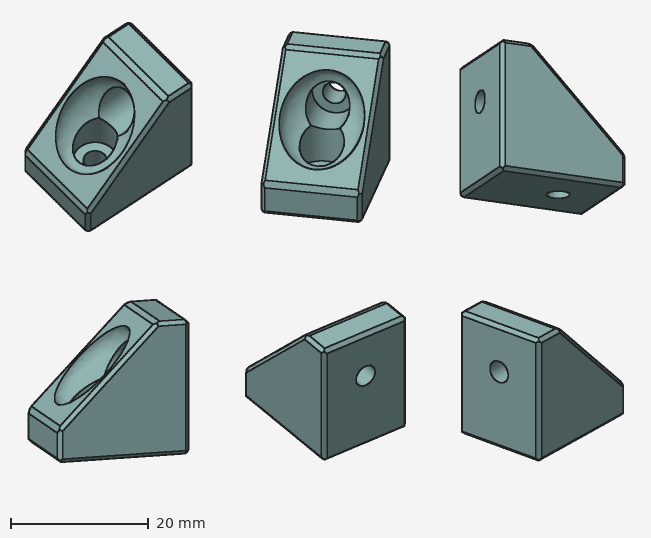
import cadquery as cq

width = 15.0
side = 20.0
land = 5.0
chamfer = 0.6

hole_diameter = 3.4
head_diameter = 6.5
seat_thickness = 4.0

recess_width = 62.5
recess_length = 76.0
recess_depth = 18.5

slope_run = side - land
axis_y = slope_run / 2
axis_z = land + slope_run / 2


def make_block():
    """Pentagonal wedge, front face at Y = 0, with every edge chamfered."""
    outline = [(0, 0), (side, 0), (side, side), (slope_run, side), (0, land)]
    block = cq.Workplane("YZ").polyline(outline).close().extrude(width / 2, both=True)
    bevelled_sides = block.faces("<X or >X").chamfer(chamfer)
    bevelled_profile = block.edges("|X").chamfer(chamfer)
    return bevelled_sides.intersect(bevelled_profile)


def make_recess():
    """Ellipsoid centred on the slope, its lower half lying inside the block."""
    unit_sphere = cq.Solid.makeSphere(0.2, angleDegrees1=-90, angleDegrees2=90)
    stretch = cq.Matrix(
        [
            [recess_width / 2, 0, 0, 0],
            [0, recess_length / 2, 0, 0],
            [0, 0, recess_depth, 0],
        ]
    )
    ellipsoid = unit_sphere.transformGeometry(stretch)
    slope_plane = cq.Plane(
        origin=(0, axis_y, axis_z),
        xDir=(1, 0, 0),
        normal=(0, 1, -1),
    )
    return ellipsoid.moved(cq.Location(slope_plane))


def make_screw_hole(entry, direction):
    """Through hole and head bore, drilled inward from an outer face."""
    start = cq.Vector(*entry)
    axis = cq.Vector(*direction)
    shank = cq.Solid.makeCylinder(hole_diameter / 2, side, start, axis)
    seat = start + axis * seat_thickness
    head = cq.Solid.makeCylinder(head_diameter / 2, side, seat, axis)
    return shank.fuse(head)


result = (
    make_block()
    .cut(cq.Workplane(make_recess()))
    .cut(cq.Workplane(make_screw_hole((0, axis_y, 0), (0, 0, 1))))
    .cut(cq.Workplane(make_screw_hole((0, side, axis_z), (0, -1, 0))))
)